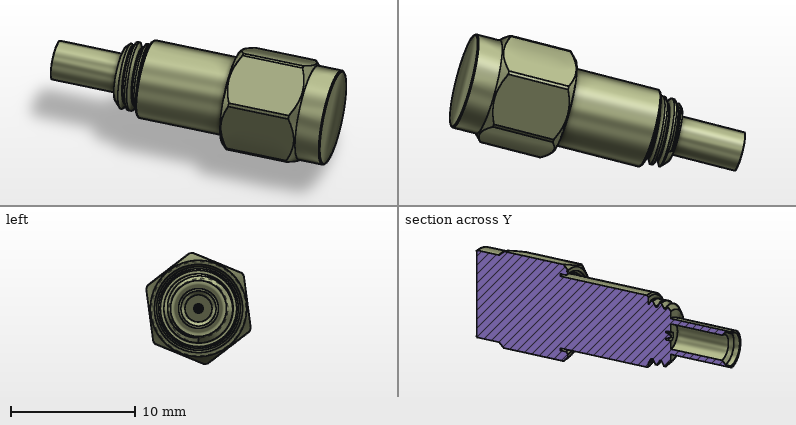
import cadquery as cq
import math


total_length = 23.2
collar_start = 5.47
body_start = 7.51
nut_start = 14.85
nut_end = 21.13

tube_radius = 1.6
mouth_radius = 1.41
mouth_depth = 0.5
bore_radius = 1.1
bore_depth = collar_start

contact_hole_radius = 0.37
contact_hole_depth = 0.46
contact_radius = 0.25
contact_step_length = 0.23
contact_end_radius = 0.16
contact_tip_radius = 0.05

crest_radius = 2.78
collar_face_radius = 2.25
root_radius = 2.35
thread_pitch = 0.8
groove_width = 0.6
groove_root_width = 0.1
first_groove_offset = 0.175
thread_turns = 3
groove_overshoot = 0.12

body_radius = 3.2
body_chamfer = 0.15

nut_sides = 6
nut_across_flats = 7.93
nut_corner_radius = 4.5
nut_tilt = 7.6
sleeve_radius = 3.87
sleeve_chamfer = 0.1
nut_recess_radius = 3.36
nut_recess_mouth_radius = 3.55
nut_recess_depth = 0.7


def revolved(points):
    """Solid turned about X from an (x, radius) outline."""
    return cq.Workplane("XY").polyline(points).close().revolve(360, (0, 0, 0), (1, 0, 0))


def rod(radius, start, end):
    """Round rod along X."""
    return cq.Workplane("YZ", origin=(start, 0, 0)).circle(radius).extrude(end - start)


def thread_groove():
    """Right-handed groove with sloping flanks that starts at the bottom of the collar."""
    root_half_width = groove_root_width / 2
    flank_slope = (groove_width / 2 - root_half_width) / (crest_radius - root_radius)
    outer_radius = crest_radius + groove_overshoot
    outer_half_width = root_half_width + flank_slope * (outer_radius - root_radius)
    path = cq.Wire.makeHelix(thread_pitch, thread_turns * thread_pitch, root_radius)
    groove = (
        cq.Workplane("XZ")
        .polyline([
            (root_radius, -root_half_width),
            (root_radius, root_half_width),
            (outer_radius, outer_half_width),
            (outer_radius, -outer_half_width),
        ])
        .close()
        .sweep(cq.Workplane(path), isFrenet=True)
    )
    laid_down = groove.rotate((0, 0, 0), (0, 1, 0), 90)
    return laid_down.translate((collar_start + first_groove_offset, 0, 0))


def threaded_collar():
    lead_in = crest_radius - collar_face_radius
    blank = revolved([
        (collar_start, 0),
        (collar_start, collar_face_radius),
        (collar_start + lead_in, crest_radius),
        (body_start, crest_radius),
        (body_start, 0),
    ])
    return blank.cut(thread_groove())


def body():
    return rod(body_radius, body_start, nut_end).faces("<X").chamfer(body_chamfer)


def coupling_nut():
    """Hexagon with conically turned ends, cylindrical corner lands and a recess around the body."""
    half_flat_angle = 180 / nut_sides
    corner_chamfer = nut_corner_radius - sleeve_radius
    hexagon = (
        cq.Workplane("YZ", origin=(nut_start, 0, 0))
        .polygon(nut_sides, nut_across_flats / math.cos(math.radians(half_flat_angle)))
        .extrude(nut_end - nut_start)
        .rotate((0, 0, 0), (1, 0, 0), half_flat_angle - nut_tilt)
    )
    envelope = revolved([
        (nut_start, 0),
        (nut_start, sleeve_radius),
        (nut_start + corner_chamfer, nut_corner_radius),
        (nut_end - corner_chamfer, nut_corner_radius),
        (nut_end, sleeve_radius),
        (nut_end, 0),
    ])
    countersink = nut_recess_mouth_radius - nut_recess_radius
    recess = revolved([
        (nut_start, 0),
        (nut_start, nut_recess_mouth_radius),
        (nut_start + countersink, nut_recess_radius),
        (nut_start + nut_recess_depth, nut_recess_radius),
        (nut_start + nut_recess_depth, 0),
    ])
    return hexagon.intersect(envelope).cut(recess)


def sleeve():
    return rod(sleeve_radius, nut_end, total_length).faces(">X").chamfer(sleeve_chamfer)


def cable_bore():
    """Wide mouth, 45 degree step, narrower bore and a clearance hole for the contact."""
    step_end = mouth_depth + mouth_radius - bore_radius
    return revolved([
        (0, 0),
        (0, mouth_radius),
        (mouth_depth, mouth_radius),
        (step_end, bore_radius),
        (bore_depth, bore_radius),
        (bore_depth, contact_hole_radius),
        (bore_depth + contact_hole_depth, contact_hole_radius),
        (bore_depth + contact_hole_depth, 0),
    ])


def centre_contact():
    """Stepped pin with a conical tip, rising from the clearance hole level with the bore floor."""
    tip_length = contact_end_radius - contact_tip_radius
    tip_start = bore_depth + tip_length
    step_start = bore_depth + contact_step_length
    return revolved([
        (bore_depth, 0),
        (bore_depth, contact_tip_radius),
        (tip_start, contact_end_radius),
        (step_start, contact_end_radius),
        (step_start, contact_radius),
        (bore_depth + contact_hole_depth, contact_radius),
        (bore_depth + contact_hole_depth, 0),
    ])


result = (
    rod(tube_radius, 0, collar_start)
    .union(threaded_collar())
    .union(body())
    .union(coupling_nut())
    .union(sleeve())
    .cut(cable_bore())
    .union(centre_contact())
)